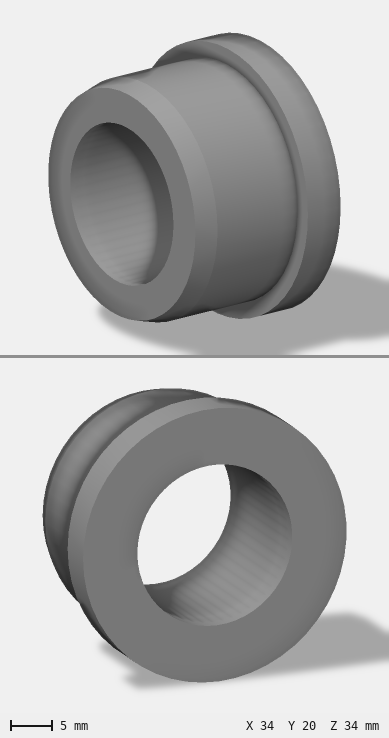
import cadquery as cq
import math

flange_diameter = 34.0
shank_diameter = 30.0
bore_diameter = 20.0
total_length = 20.0
flange_thickness = 5.0

taper_length = 2.8
taper_angle = 15.0

flange_radius = flange_diameter / 2
shank_radius = shank_diameter / 2
bore_radius = bore_diameter / 2
tip_radius = shank_radius - taper_length * math.tan(math.radians(taper_angle))
flange_start = total_length - flange_thickness

half_section = (
    cq.Workplane("XY")
    .moveTo(bore_radius, 0)
    .lineTo(tip_radius, 0)
    .lineTo(shank_radius, taper_length)
    .lineTo(shank_radius, flange_start)
    .lineTo(flange_radius, flange_start)
    .lineTo(flange_radius, total_length)
    .lineTo(bore_radius, total_length)
    .close()
)

result = half_section.revolve(360, (0, 0, 0), (0, 1, 0))